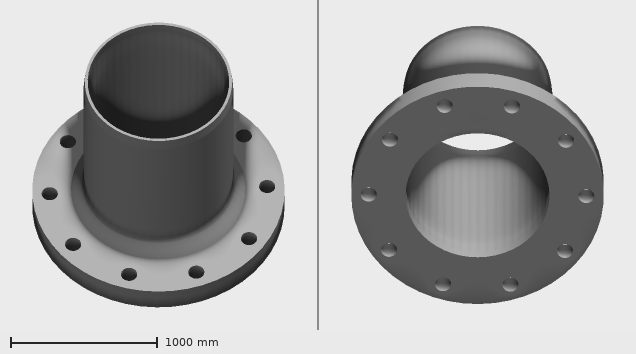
import cadquery as cq
import math

flange_diameter = 1720.0
flange_thickness = 180.0
bolt_hole_diameter = 110.0
bolt_circle_diameter = 1483.0
bolt_count = 10

pipe_diameter = 1020.0
bore_diameter = 980.0
neck_diameter = 1154.0
collar_diameter = 1190.0

total_height = 1420.0
collar_undercut_height = 12.0
collar_height = flange_thickness + collar_undercut_height
cone_top_height = 287.0
blend_radius = 80.0
cone_angle = math.radians(36.5)
bend_start_height = 1333.0
bend_radius = 120.0
tip_angle = math.radians(5.5)


def make_flange():
    """Flat ring that fits around the neck, with a circle of bolt holes."""
    ring = (
        cq.Workplane("XY")
        .circle(flange_diameter / 2)
        .circle(neck_diameter / 2)
        .extrude(flange_thickness)
    )
    bolt_holes = (
        cq.Workplane("XY")
        .polarArray(bolt_circle_diameter / 2, 0, 360, bolt_count)
        .circle(bolt_hole_diameter / 2)
        .extrude(flange_thickness)
    )
    return ring.cut(bolt_holes)


def make_stub_pipe():
    """Revolved pipe with a neck, a conical collar, a concave blend and an inward-turned tip."""
    pipe_radius = pipe_diameter / 2
    bore_radius = bore_diameter / 2
    neck_radius = neck_diameter / 2

    blend_center_radius = pipe_radius + blend_radius
    blend_top_height = cone_top_height + blend_radius * math.sin(cone_angle)

    def blend_point(angle):
        return (
            blend_center_radius - blend_radius * math.cos(angle),
            blend_top_height - blend_radius * math.sin(angle),
        )

    bend_center_radius = pipe_radius - bend_radius
    inner_bend_radius = bore_radius - bend_center_radius

    def bend_point(radius, angle):
        return (
            bend_center_radius + radius * math.cos(angle),
            bend_start_height + radius * math.sin(angle),
        )

    def tip_end(radius):
        bend_end_radius, bend_end_height = bend_point(radius, tip_angle)
        inward = (total_height - bend_end_height) * math.tan(tip_angle)
        return (bend_end_radius - inward, total_height)

    profile = (
        cq.Workplane("XZ")
        .moveTo(bore_radius, 0)
        .lineTo(neck_radius, 0)
        .lineTo(neck_radius, flange_thickness)
        .lineTo(collar_diameter / 2, collar_height)
        .lineTo(*blend_point(cone_angle))
        .threePointArc(blend_point(cone_angle / 2), blend_point(0))
        .lineTo(*bend_point(bend_radius, 0))
        .threePointArc(bend_point(bend_radius, tip_angle / 2), bend_point(bend_radius, tip_angle))
        .lineTo(*tip_end(bend_radius))
        .lineTo(*tip_end(inner_bend_radius))
        .lineTo(*bend_point(inner_bend_radius, tip_angle))
        .threePointArc(bend_point(inner_bend_radius, tip_angle / 2), bend_point(inner_bend_radius, 0))
        .close()
    )
    return profile.revolve(360, (0, 0, 0), (0, 1, 0))


flange = make_flange()
stub_pipe = make_stub_pipe()

result = cq.Compound.makeCompound([flange.val(), stub_pipe.val()])